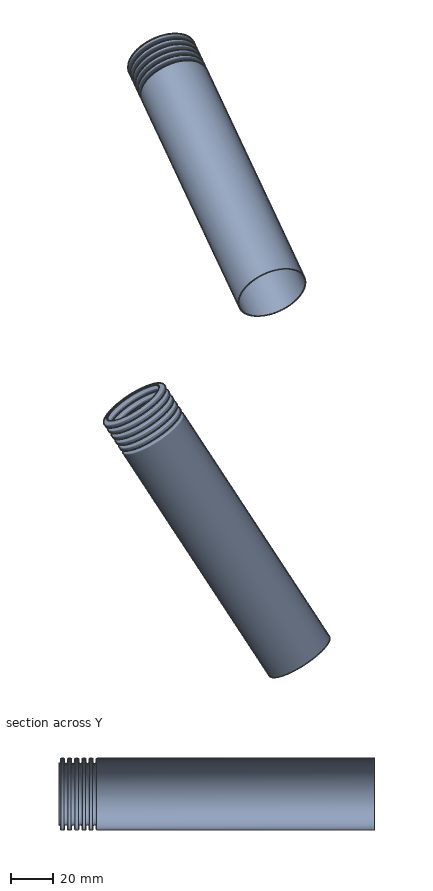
import cadquery as cq

length = 150.0
outer_diameter = 34.4
bellows_root_diameter = 29.5
wall = 0.38

crest_width = 2.2
crest_count = 5
tight_bend = 0.3
wide_bend = tight_bend + wall
root_width = 1.15
pitch = root_width + crest_width
first_rise = root_width / 2

crest_radius = outer_diameter / 2
root_radius = bellows_root_diameter / 2


def add_rise(profile, x, low, high, low_bend, high_bend):
    """Step outward at x, from a root to a crest, with rounded corners."""
    return (
        profile.lineTo(x - low_bend, low)
        .radiusArc((x, low + low_bend), -low_bend)
        .lineTo(x, high - high_bend)
        .radiusArc((x + high_bend, high), high_bend)
    )


def add_fall(profile, x, low, high, low_bend, high_bend):
    """Step inward at x, from a crest to a root, with rounded corners."""
    return (
        profile.lineTo(x - high_bend, high)
        .radiusArc((x, high - high_bend), high_bend)
        .lineTo(x, low + low_bend)
        .radiusArc((x + low_bend, low), -low_bend)
    )


def corrugated_body(inset, low_bend, high_bend):
    """Solid of revolution bounded by the tube surface moved inward by inset."""
    low = root_radius - inset
    high = crest_radius - inset
    profile = cq.Workplane("XY").lineTo(0, low)
    for index in range(crest_count):
        rise = first_rise + index * pitch
        fall = rise + crest_width
        profile = add_rise(profile, rise + inset, low, high, low_bend, high_bend)
        profile = add_fall(profile, fall - inset, low, high, low_bend, high_bend)
    tube_start = first_rise + crest_count * pitch
    profile = add_rise(profile, tube_start + inset, low, high, low_bend, high_bend)
    profile = profile.lineTo(length, high).lineTo(length, 0).close()
    return profile.revolve(360, (0, 0, 0), (1, 0, 0))


outside = corrugated_body(0, tight_bend, wide_bend)
bore = corrugated_body(wall, wide_bend, tight_bend)

result = outside.cut(bore)